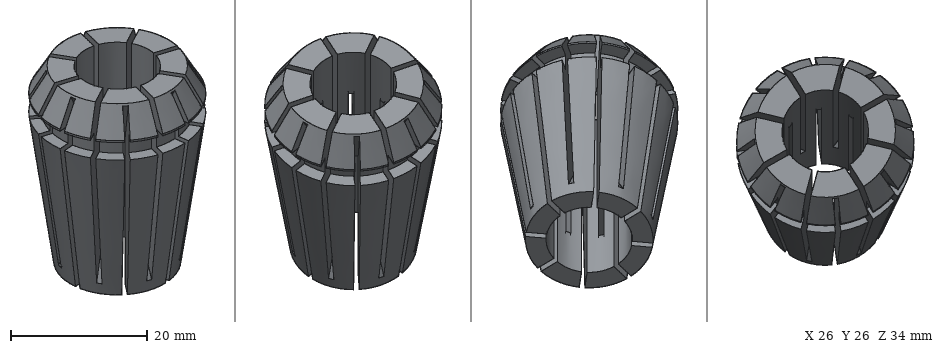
import cadquery as cq
import math

length = 34.0
outer_radius = 13.0
bore_radius = 6.32

taper_top = 25.9
taper_angle = 8.0
bottom_radius = outer_radius - taper_top * math.tan(math.radians(taper_angle))

groove_radius = 11.1
groove_top = 28.97

rim_height = 0.35
rim_top = groove_top + rim_height
head_angle = 30.0
head_top_radius = outer_radius - (length - rim_top) * math.tan(math.radians(head_angle))

slots_per_end = 8
slot_pitch = 360.0 / slots_per_end
slot_width = 0.8
slot_overrun = 0.68
slot_reach = outer_radius + slot_overrun
bore_clearance_radius = bore_radius - slot_overrun

top_slot_floor = 1.97
top_slot_floor_angle = 61.5
bottom_slot_floor = 33.7
bottom_slot_floor_angle = 64.0


def collet_body():
    """Revolved collet with its bore."""
    return (
        cq.Workplane("XZ")
        .moveTo(bore_radius, 0)
        .lineTo(bottom_radius, 0)
        .lineTo(outer_radius, taper_top)
        .lineTo(groove_radius, taper_top)
        .lineTo(groove_radius, groove_top)
        .lineTo(outer_radius, groove_top)
        .lineTo(outer_radius, rim_top)
        .lineTo(head_top_radius, length)
        .lineTo(bore_radius, length)
        .close()
        .revolve(360, (0, 0, 0), (0, 1, 0))
    )


def slot_cutters(floor_radius, floor_height, floor_angle, open_height, first_angle):
    """Ring of radial slots; their shared conical floor recedes toward the open end near the axis."""
    toward_open = math.copysign(1, open_height - floor_height)
    slope = toward_open * math.tan(math.radians(floor_angle))
    sweep = (
        cq.Workplane("XZ")
        .moveTo(bore_clearance_radius, floor_height + slope * (floor_radius - bore_clearance_radius))
        .lineTo(floor_radius, floor_height)
        .lineTo(slot_reach, floor_height)
        .lineTo(slot_reach, open_height)
        .lineTo(bore_clearance_radius, open_height)
        .close()
        .revolve(360, (0, 0, 0), (0, 1, 0))
    )
    blades = (
        cq.Workplane("XY")
        .workplane(offset=-slot_overrun)
        .polarArray(slot_reach / 2, first_angle, 360, slots_per_end)
        .rect(slot_reach, slot_width)
        .extrude(length + 2 * slot_overrun)
    )
    return blades.intersect(sweep)


top_slot_radius = bottom_radius + top_slot_floor * math.tan(math.radians(taper_angle))
bottom_slot_radius = head_top_radius + (length - bottom_slot_floor) * math.tan(math.radians(head_angle))

top_slots = slot_cutters(
    top_slot_radius, top_slot_floor, top_slot_floor_angle, length + slot_overrun, 0
)
bottom_slots = slot_cutters(
    bottom_slot_radius, bottom_slot_floor, bottom_slot_floor_angle, -slot_overrun, slot_pitch / 2
)

result = collet_body().cut(top_slots).cut(bottom_slots)